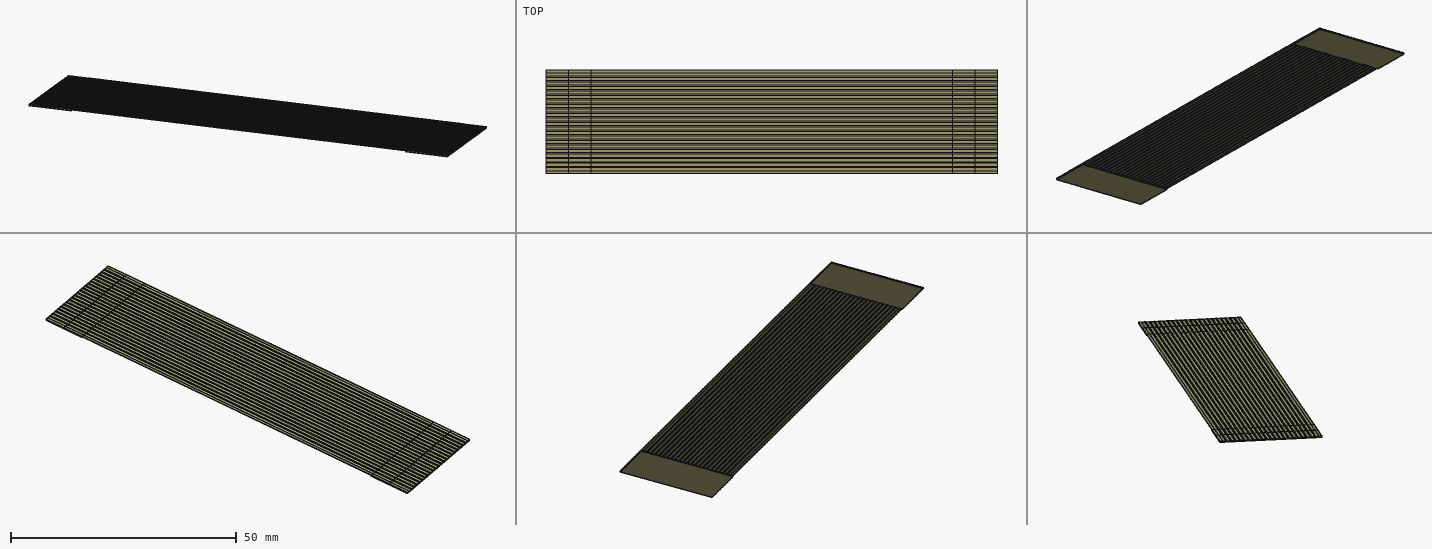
import cadquery as cq

length = 100.0
width = 23.0
thickness = 0.36

film_thickness = 0.04
channel_depth = 0.05
stiffener_thickness = thickness - 2 * film_thickness - channel_depth

channel_count = 22
channel_pitch = 1.0
channel_width = 0.7

exposed_length = 5.0
stiffener_length = 10.0

film_bottom = stiffener_thickness
channel_floor = film_bottom + film_thickness
core_top = channel_floor + channel_depth


def layer(x_start, x_end, y_size, z_bottom, z_top):
    """Flat block between two X positions and two heights, centred on Y = 0."""
    corner = cq.Workplane("XY", origin=(x_start, 0, z_bottom))
    return corner.box(x_end - x_start, y_size, z_top - z_bottom, centered=(False, True, False))


strip = layer(0, length, width, film_bottom, core_top)

cover = layer(exposed_length, length - exposed_length, width, core_top, thickness)

left_stiffener = layer(0, stiffener_length, width, 0, film_bottom)
right_stiffener = layer(length - stiffener_length, length, width, 0, film_bottom)

result = strip.union(cover).union(left_stiffener).union(right_stiffener)

channel = layer(0, length, channel_width, channel_floor, core_top)
first_channel_y = -(channel_count - 1) * channel_pitch / 2
for index in range(channel_count):
    channel_y = first_channel_y + index * channel_pitch
    result = result.cut(channel.translate((0, channel_y, 0)))